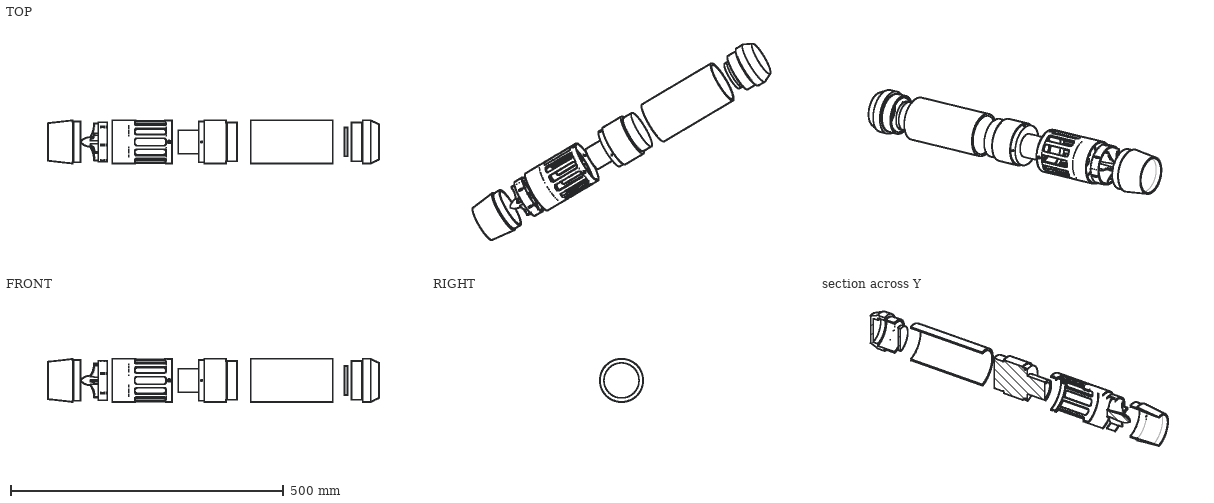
import cadquery as cq

BODY_R = 80.0 / 2
SLEEVE_BORE_R = 38.0
SPIGOT_R = 36.0
RELIEF_WIDTH = 2.0
RELIEF_DEPTH = 1.0

NOSE_START = 0.0
NOSE_SHOULDER = 45.5
NOSE_END = 60.0
NOSE_FRONT_R = 35.0
NOSE_LIP_WALL = 2.5
NOSE_LIP_DEPTH = 11.0
NOSE_BORE_R = 34.0

DIFFUSER_TIP = 60.0
DIFFUSER_RING_START = 92.5
DIFFUSER_END = 109.5
DIFFUSER_RING_R = 36.5
DIFFUSER_RING_WALL = 2.5
HUB_R = 9.0
HUB_END_R = 8.0
HUB_WIDEST = 78.0
HUB_NOSE_POINT = (69.5, 7.5)
VANE_COUNT = 6
VANE_THICKNESS = 3.5
VANE_EDGE_R = 1.5
VANE_ROOT_START = 78.0
VANE_FIRST_ANGLE = -5.0
VANE_TOP_START = 84.5
VANE_TOP_R = 34.0
VANE_EDGE_POINT = (82.0, -18.0)
PORT_OFFSET_ANGLE = 25.5
PORT_START = 97.5
PORT_LENGTH = 7.0
PORT_WIDTH = 2.5
NOTCH_LENGTH = 2.5

SLEEVE_START = 118.0
SLEEVE_END = 228.5
SLEEVE_WALL_R = 35.5
FRONT_COUNTERBORE = 30.5
REAR_COUNTERBORE = 10.5
SLOT_START = 160.0
SLOT_END = 217.0
SLOT_WIDTH = 13.5
SLOT_CORNER_R = 3.5
SLOT_COUNT = 12
SLOT_CUT_DEPTH = 12.0
SCREW_COUNT = 4
SCREW_FROM_END = 5.5
SCREW_THREAD_D = 2.5
SCREW_HEAD_D = 5.5

MOTOR_START = 239.5
MOTOR_TUBE_R = 22.0
MOTOR_RECESS_R = 17.5
MOTOR_RECESS_DEPTH = 1.0
MOTOR_LAND_START = 277.0
MOTOR_BODY_START = 287.5
MOTOR_BODY_END = 328.0
MOTOR_END = 348.0
SCREW_TAPPED_DEPTH = 3.5

TUBE_START = 373.0
TUBE_END = 524.0

DISC_START = 545.0
DISC_END = 551.0
DISC_R = 27.0

CAP_START = 558.0
CAP_SHOULDER = 578.5
CAP_TAPER_START = 593.0
CAP_END = 609.0
CAP_END_R = 32.0
CAP_WALL = 3.5
CAP_SEAT_R = 27.5
CAP_SEAT_END = 603.0


def turned(points):
    """Solid of revolution about X from (x, radius) points."""
    return cq.Workplane("XY").polyline(points).close().revolve(360, (0, 0, 0), (1, 0, 0))


def turned_tube(start, end, outer_r, inner_r):
    """Round tube along X; an inner radius of 0 makes it solid."""
    return turned([(start, inner_r), (start, outer_r), (end, outer_r), (end, inner_r)])


def cut_screw_holes(body, hole):
    """Cut copies of a hole that points along +Z, spaced evenly about the X axis."""
    for i in range(SCREW_COUNT):
        body = body.cut(cq.Workplane(hole).rotate((0, 0, 0), (1, 0, 0), i * 360 / SCREW_COUNT))
    return body


def make_nose():
    return turned([
        (NOSE_START, NOSE_FRONT_R),
        (NOSE_SHOULDER, BODY_R),
        (NOSE_SHOULDER, SLEEVE_BORE_R - RELIEF_DEPTH),
        (NOSE_SHOULDER + RELIEF_WIDTH, SLEEVE_BORE_R - RELIEF_DEPTH),
        (NOSE_SHOULDER + RELIEF_WIDTH, SLEEVE_BORE_R),
        (NOSE_END, SLEEVE_BORE_R),
        (NOSE_END, NOSE_BORE_R),
        (NOSE_SHOULDER, NOSE_BORE_R),
        (NOSE_LIP_DEPTH, NOSE_FRONT_R - NOSE_LIP_WALL),
        (NOSE_START, NOSE_FRONT_R - NOSE_LIP_WALL),
    ])


def make_hub():
    return (cq.Workplane("XY").moveTo(DIFFUSER_TIP, 0)
            .spline([HUB_NOSE_POINT, (HUB_WIDEST, HUB_R), (DIFFUSER_END, HUB_END_R)], includeCurrent=True)
            .lineTo(DIFFUSER_END, 0).close()
            .revolve(360, (0, 0, 0), (1, 0, 0)))


def make_vane():
    """One vane pointing along -Y, with a hollow leading edge that is rounded off."""
    return (cq.Workplane("XY").moveTo(VANE_ROOT_START, 0).lineTo(VANE_ROOT_START, -HUB_R)
            .threePointArc(VANE_EDGE_POINT, (VANE_TOP_START, -VANE_TOP_R))
            .lineTo(DIFFUSER_END, -VANE_TOP_R).lineTo(DIFFUSER_END, 0).close()
            .extrude(VANE_THICKNESS / 2, both=True)
            .edges("%CIRCLE").fillet(VANE_EDGE_R))


def make_diffuser():
    ring = turned_tube(DIFFUSER_RING_START, DIFFUSER_END, DIFFUSER_RING_R,
                       DIFFUSER_RING_R - DIFFUSER_RING_WALL)
    body = ring.union(make_hub())
    vane = make_vane()
    for i in range(VANE_COUNT):
        angle = -(VANE_FIRST_ANGLE + i * 360 / VANE_COUNT)
        body = body.union(vane.rotate((0, 0, 0), (1, 0, 0), angle))
    port = (cq.Workplane("XY")
            .box(PORT_LENGTH, 2 * DIFFUSER_RING_WALL, PORT_WIDTH, centered=(False, True, True))
            .translate((PORT_START, -DIFFUSER_RING_R, 0)))
    notch = port.translate((DIFFUSER_END - NOTCH_LENGTH - PORT_START, 0, 0))
    for i in range(VANE_COUNT):
        angle = -(VANE_FIRST_ANGLE + PORT_OFFSET_ANGLE + i * 360 / VANE_COUNT)
        body = body.cut(port.rotate((0, 0, 0), (1, 0, 0), angle))
        body = body.cut(notch.rotate((0, 0, 0), (1, 0, 0), angle))
    return body


def make_sleeve():
    sleeve = turned([
        (SLEEVE_START, SLEEVE_BORE_R),
        (SLEEVE_START, BODY_R),
        (SLEEVE_END, BODY_R),
        (SLEEVE_END, SLEEVE_BORE_R),
        (SLEEVE_END - REAR_COUNTERBORE, SLEEVE_BORE_R),
        (SLEEVE_END - REAR_COUNTERBORE, SLEEVE_WALL_R),
        (SLEEVE_START + FRONT_COUNTERBORE, SLEEVE_WALL_R),
        (SLEEVE_START + FRONT_COUNTERBORE, SLEEVE_BORE_R),
    ])
    for i in range(SLOT_COUNT):
        slot = (cq.Workplane("XY").box(SLOT_END - SLOT_START, SLOT_WIDTH, SLOT_CUT_DEPTH)
                .edges("|Z").fillet(SLOT_CORNER_R)
                .translate(((SLOT_START + SLOT_END) / 2, 0, BODY_R))
                .rotate((0, 0, 0), (1, 0, 0), i * 360 / SLOT_COUNT))
        sleeve = sleeve.cut(slot)
    screw = cq.Solid.makeCone(
        SCREW_THREAD_D / 2, SCREW_HEAD_D / 2, BODY_R - SLEEVE_BORE_R,
        pnt=(SLEEVE_END - SCREW_FROM_END, 0, SLEEVE_BORE_R),
    )
    return cut_screw_holes(sleeve, screw)


def make_motor():
    motor = turned([
        (MOTOR_START, 0),
        (MOTOR_START, MOTOR_TUBE_R),
        (MOTOR_LAND_START, MOTOR_TUBE_R),
        (MOTOR_LAND_START, SLEEVE_BORE_R),
        (MOTOR_BODY_START, SLEEVE_BORE_R),
        (MOTOR_BODY_START, BODY_R),
        (MOTOR_BODY_END, BODY_R),
        (MOTOR_BODY_END, SPIGOT_R - RELIEF_DEPTH),
        (MOTOR_BODY_END + RELIEF_WIDTH, SPIGOT_R - RELIEF_DEPTH),
        (MOTOR_BODY_END + RELIEF_WIDTH, SPIGOT_R),
        (MOTOR_END, SPIGOT_R),
        (MOTOR_END, 0),
    ])
    recess = turned_tube(MOTOR_START, MOTOR_START + MOTOR_RECESS_DEPTH, MOTOR_RECESS_R, 0)
    hole_bottom = SLEEVE_BORE_R - SCREW_TAPPED_DEPTH
    hole = cq.Solid.makeCylinder(
        SCREW_THREAD_D / 2, BODY_R - hole_bottom,
        pnt=(MOTOR_LAND_START + SCREW_FROM_END, 0, hole_bottom),
    )
    return cut_screw_holes(motor.cut(recess), hole)


def make_plain_tube():
    return turned_tube(TUBE_START, TUBE_END, BODY_R, SPIGOT_R)


def make_disc():
    return turned_tube(DISC_START, DISC_END, DISC_R, 0)


def make_cap():
    return turned([
        (CAP_START, SPIGOT_R - CAP_WALL),
        (CAP_START, SPIGOT_R),
        (CAP_SHOULDER - RELIEF_WIDTH, SPIGOT_R),
        (CAP_SHOULDER - RELIEF_WIDTH, SPIGOT_R - RELIEF_DEPTH),
        (CAP_SHOULDER, SPIGOT_R - RELIEF_DEPTH),
        (CAP_SHOULDER, BODY_R),
        (CAP_TAPER_START, BODY_R),
        (CAP_END, CAP_END_R),
        (CAP_END, 0),
        (CAP_SEAT_END, 0),
        (CAP_SEAT_END, CAP_SEAT_R),
        (CAP_TAPER_START, CAP_SEAT_R),
        (CAP_TAPER_START, SPIGOT_R - CAP_WALL),
    ])


result = cq.Compound.makeCompound([
    make_nose().val(),
    make_diffuser().val(),
    make_sleeve().val(),
    make_motor().val(),
    make_plain_tube().val(),
    make_disc().val(),
    make_cap().val(),
])